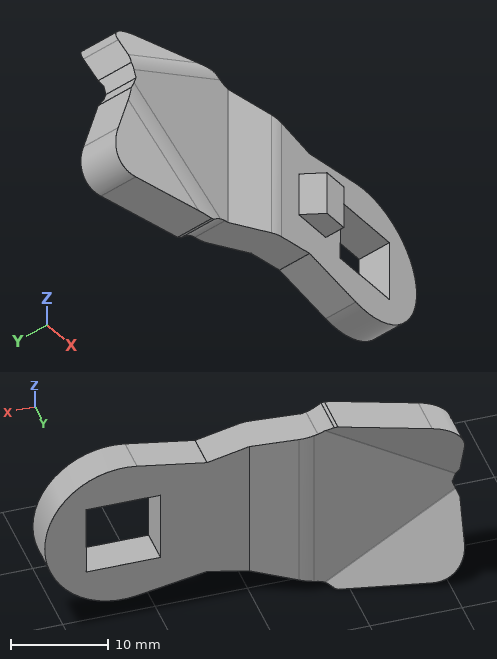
import cadquery as cq
import math

sheet = 4.0
eye_radius = 8.5
length = 44.15
square_hole = 8.05

crank_angle = math.radians(20)
crank_start = -20.0
crank_offset = 2.05
crank_inner_radius = 0.5

fold_slope = math.radians(32.1)
fold_angle = math.radians(30)
fold_apex = -36.78
fold_inner_radius = 0.1
wing_reach = 17.65
web_reach = 35.3
fold_length = 35.3

left = eye_radius - length
notch_tip = (left + 0.65, 0)
notch_edge = (left, 1.75)
paddle_corner = (-35.28, 9.8)
paddle_corner_radius = 3.97
shoulder_peak = (-22.35, 10.53)
shoulder_start = (-22.0, 10.4)
shoulder_middle = (-21.3, 9.9)
shoulder_end = (-20.4, 9.55)
waist = (-9.05, 7.05)

tab_root_left = -10.8
tab_tip_left = -9.15
tab_right = -6.4
tab_height = 5.75
tab_depth = 2.4

trim = 88.3


def mirror_z(point):
    return (point[0], -point[1])


def outline_solid():
    """Outline of the whole part, cut straight through along Y."""
    waist_angle = math.atan2(waist[1], waist[0])
    tangent_angle = waist_angle - math.acos(eye_radius / math.hypot(*waist))
    tangent = (eye_radius * math.cos(tangent_angle), eye_radius * math.sin(tangent_angle))
    solid = (
        cq.Workplane("XZ", origin=(0, trim / 2, 0))
        .moveTo(*notch_tip)
        .lineTo(*notch_edge)
        .lineTo(*paddle_corner)
        .lineTo(*shoulder_peak)
        .lineTo(*shoulder_start)
        .threePointArc(shoulder_middle, shoulder_end)
        .lineTo(*waist)
        .lineTo(*tangent)
        .threePointArc((eye_radius, 0), mirror_z(tangent))
        .lineTo(*mirror_z(waist))
        .lineTo(*mirror_z(shoulder_end))
        .threePointArc(mirror_z(shoulder_middle), mirror_z(shoulder_start))
        .lineTo(*mirror_z(shoulder_peak))
        .lineTo(*mirror_z(paddle_corner))
        .lineTo(*mirror_z(notch_edge))
        .close()
        .extrude(trim)
    )
    corner_x, corner_z = paddle_corner
    for z in (corner_z, -corner_z):
        corner = cq.selectors.NearestToPointSelector((corner_x, 0, z))
        solid = solid.edges("|Y").edges(corner).fillet(paddle_corner_radius)
    return solid


def bend_point(center, radius, angle):
    """Point on a bend, with the angle measured from the bend's starting radius."""
    return (center[0] + radius * math.sin(angle), center[1] + radius * math.cos(angle))


def arm_sheet():
    """Cranked sheet from the paddle to the eye, with bends rounded about each inner side."""
    start_center = (crank_start, crank_offset - crank_inner_radius)
    outer_radius = crank_inner_radius + sheet
    front_leave = bend_point(start_center, crank_inner_radius, crank_angle)
    front_drop = front_leave[1] - sheet * (1 - math.cos(crank_angle))
    pivot_x = front_leave[0] + front_drop / math.tan(crank_angle) + sheet * math.sin(crank_angle)
    pivot = (pivot_x, sheet)
    return (
        cq.Workplane("XY", origin=(0, 0, -trim / 2))
        .moveTo(crank_start, crank_offset)
        .threePointArc(bend_point(start_center, crank_inner_radius, crank_angle / 2), front_leave)
        .lineTo(*bend_point(pivot, -sheet, crank_angle))
        .threePointArc(bend_point(pivot, -sheet, crank_angle / 2), (pivot_x, 0))
        .lineTo(eye_radius + sheet, 0)
        .lineTo(eye_radius + sheet, sheet)
        .lineTo(*pivot)
        .lineTo(*bend_point(start_center, outer_radius, crank_angle))
        .threePointArc(
            bend_point(start_center, outer_radius, crank_angle / 2),
            (crank_start, crank_offset + sheet),
        )
        .close()
        .extrude(trim)
    )


def paddle_half():
    """Folded sheet above Z = 0, ending where the crank begins."""
    outer_radius = fold_inner_radius + sheet
    center = (0, outer_radius)
    wing_x = wing_reach * math.cos(fold_angle)
    wing_y = wing_reach * math.sin(fold_angle)
    outer_end = bend_point(center, -outer_radius, -fold_angle)
    inner_end = bend_point(center, -fold_inner_radius, -fold_angle)
    fold_plane = cq.Plane(
        origin=(fold_apex, crank_offset, 0),
        xDir=(-math.sin(fold_slope), 0, math.cos(fold_slope)),
        normal=(-math.cos(fold_slope), 0, -math.sin(fold_slope)),
    )
    folded = (
        cq.Workplane(fold_plane)
        .moveTo(-web_reach, 0)
        .lineTo(0, 0)
        .threePointArc(bend_point(center, -outer_radius, -fold_angle / 2), outer_end)
        .lineTo(outer_end[0] + wing_x, outer_end[1] + wing_y)
        .lineTo(inner_end[0] + wing_x, inner_end[1] + wing_y)
        .lineTo(*inner_end)
        .threePointArc(bend_point(center, -fold_inner_radius, -fold_angle / 2), (0, sheet))
        .lineTo(-web_reach, sheet)
        .close()
        .extrude(fold_length, both=True)
    )
    upper_left = cq.Workplane().box(trim, trim, trim, centered=(False, True, False))
    return folded.intersect(upper_left.translate((crank_start - trim, 0, 0)))


def tab():
    """Tab standing forward from the eye, with a sloping left side."""
    return (
        cq.Workplane("XY", origin=(0, 0, -tab_height / 2))
        .moveTo(tab_root_left, 0)
        .lineTo(tab_tip_left, -tab_depth)
        .lineTo(tab_right, -tab_depth)
        .lineTo(tab_right, 0)
        .close()
        .extrude(tab_height)
    )


upper_paddle = paddle_half()
bent_sheet = arm_sheet().union(upper_paddle).union(upper_paddle.mirror("XY"))
plate = bent_sheet.intersect(outline_solid())
plate = plate.cut(cq.Workplane().box(square_hole, trim, square_hole))
result = plate.union(tab())